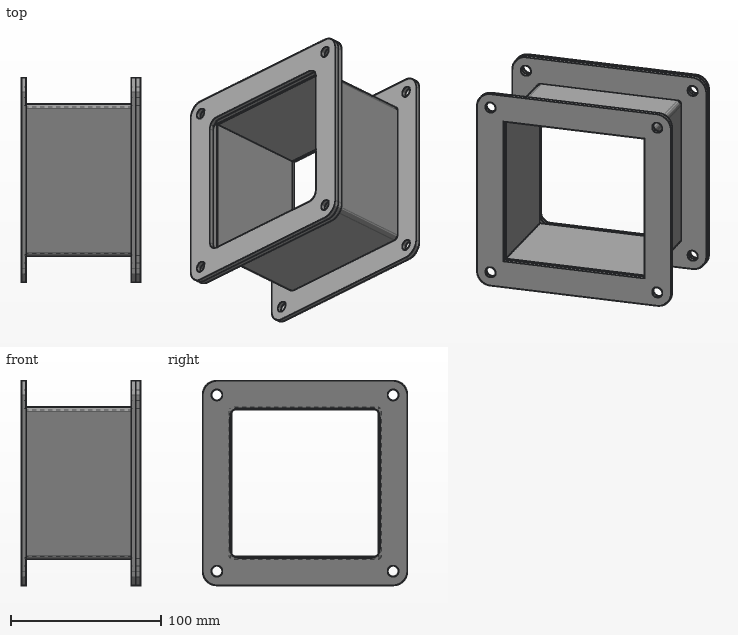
import cadquery as cq


plate_width = 136.525
plate_height = 136.55
plate_thickness = 3.175
plate_corner_radius = 9.525
bolt_spacing = 117.475
bolt_hole_diameter = 7.14
flange_opening = 99.6
gasket_opening = 100.0
gasket_opening_radius = 6.35
tube_size = 101.6
tube_wall = 2.0
tube_corner_radius = 2.8
overall_length = 79.375
plate_count = 3

tube_length = overall_length - plate_count * plate_thickness
tube_opening = tube_size - 2 * tube_wall
front_flange_x = 0
tube_start_x = front_flange_x + plate_thickness
rear_flange_x = tube_start_x + tube_length
gasket_x = rear_flange_x + plate_thickness


def square_bar(size, start_x, length):
    """Square bar centred on the X axis, running from start_x toward +X."""
    return cq.Workplane("YZ", origin=(start_x, 0, 0)).rect(size, size).extrude(length)


def drilled_plate(start_x):
    """Nearly square plate with rounded corners and one bolt hole near each corner."""
    workplane = cq.Workplane("YZ", origin=(start_x, 0, 0))
    blank = workplane.rect(plate_width, plate_height).extrude(plate_thickness)
    plate = blank.edges("|X").fillet(plate_corner_radius)
    bolt_holes = (
        workplane.rect(bolt_spacing, bolt_spacing, forConstruction=True)
        .vertices()
        .circle(bolt_hole_diameter / 2)
        .extrude(plate_thickness)
    )
    return plate.cut(bolt_holes)


def make_flange(start_x):
    """Drilled plate with a sharp-cornered square opening."""
    return drilled_plate(start_x).cut(square_bar(flange_opening, start_x, plate_thickness))


def make_gasket():
    """Drilled plate behind the rear flange; its square opening has rounded corners."""
    opening = square_bar(gasket_opening, gasket_x, plate_thickness).edges("|X").fillet(gasket_opening_radius)
    return drilled_plate(gasket_x).cut(opening)


def make_tube():
    """Square tube between the flanges, rounded outside and sharp-cornered inside."""
    outside = square_bar(tube_size, tube_start_x, tube_length).edges("|X").fillet(tube_corner_radius)
    return outside.cut(square_bar(tube_opening, tube_start_x, tube_length))


flanges = [make_flange(start_x) for start_x in (front_flange_x, rear_flange_x)]
gasket = make_gasket()
tube = make_tube()

result = cq.Compound.makeCompound([*[flange.val() for flange in flanges], gasket.val(), tube.val()])